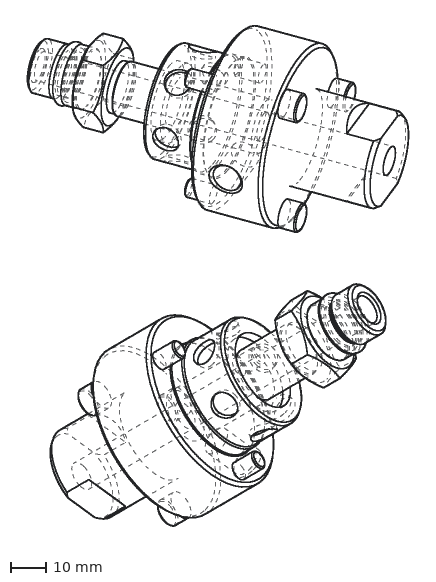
import cadquery as cq
import math


total_length = 108.9
flow_bore_diameter = 8.5
shaft_diameter = 16.0
seat_end_x = 69.7

spigot_chamfer = 0.9
thread_end_x = 7.1
groove_diameter = 13.5
groove_end_x = 11.2
ring_section_radius = 1.4
ring_center_x = 9.8
ring_outer_radius = 9.4
collar_diameter = 18.0
collar_chamfer = 0.3
hex_start_x = 15.8
hex_length = 8.9
hex_side_count = 6
hex_across_flats = 23.8
hex_face_diameter = 22.8
hex_chamfer_angle = 30.0
neck_diameter = 15.4
neck_end_x = 26.5
mouth_chamfer = 0.8

sleeve_start_x = 40.2
sleeve_diameter = 34.1
sleeve_bore_diameter = 23.4
sleeve_bore_depth = 2.9
sleeve_bore_end_x = sleeve_start_x + sleeve_bore_depth
sleeve_chamfer_length = 0.9
sleeve_chamfer_height = 0.7
sleeve_end_x = 54.8
shoulder_diameter = 35.1
shoulder_chamfer = (shoulder_diameter - sleeve_diameter) / 2
shoulder_foot = 0.3
window_count = 6
window_diameter = 8.0
window_floor_diameter = 30.5
window_x = 47.3

flange_start_x = 59.3
flange_end_x = 81.3
flange_diameter = 54.0
flange_chamfer = 1.0
port_diameter = 8.5
port_x = (flange_start_x + flange_end_x) / 2
port_mouth_diameter = 10.3
port_depth = 13.1
drill_point_angle = 118.0

rear_diameter = 28.5
rear_fillet = 1.0
rear_chamfer_length = 1.4
rear_chamfer_height = 1.0
flat_spacing = 24.0
flat_start_x = 99.2
flat_ramp_length = 1.9
flat_ramp_height = (rear_diameter - flat_spacing) / 2

screw_count = 3
screw_circle_diameter = 45.0
screw_diameter = 5.5
screw_tip_x = 51.6
screw_tip_chamfer = 0.4
head_diameter = 8.5
head_end_x = 86.7
head_chamfer = 0.4


def rod(diameter, start_x, end_x):
    """Round bar on the X axis."""
    return cq.Workplane("YZ", origin=(start_x, 0, 0)).circle(diameter / 2).extrude(end_x - start_x)


def turned(outline):
    """Solid of revolution about X from a closed outline sketched in the XY plane."""
    return outline.close().revolve(360, (0, 0, 0), (1, 0, 0))


def spigot():
    """Chamfered thread, ring groove and collar in front of the hex."""
    radius = shaft_diameter / 2
    groove_radius = groove_diameter / 2
    collar_radius = collar_diameter / 2
    thread_runout = radius - groove_radius
    return turned(
        cq.Workplane("XY")
        .moveTo(0, 0)
        .lineTo(0, radius - spigot_chamfer)
        .lineTo(spigot_chamfer, radius)
        .lineTo(thread_end_x, radius)
        .lineTo(thread_end_x + thread_runout, groove_radius)
        .lineTo(groove_end_x, groove_radius)
        .lineTo(groove_end_x, collar_radius)
        .lineTo(hex_start_x - collar_chamfer, collar_radius)
        .lineTo(hex_start_x, collar_radius - collar_chamfer)
        .lineTo(hex_start_x, 0)
    )


def sealing_ring():
    """Round-section ring seated in the groove."""
    center_radius = ring_outer_radius - ring_section_radius
    section = cq.Workplane("XY").center(ring_center_x, center_radius).circle(ring_section_radius)
    return section.revolve(360, (0, -center_radius, 0), (1, -center_radius, 0))


def hexagon():
    """Hex with flats facing up and down and conical chamfers on both ends."""
    corner_diameter = hex_across_flats / math.cos(math.pi / hex_side_count)
    corner_radius = corner_diameter / 2
    face_radius = hex_face_diameter / 2
    chamfer_length = (corner_radius - face_radius) * math.tan(math.radians(hex_chamfer_angle))
    hex_end_x = hex_start_x + hex_length
    end_face = cq.Workplane("YZ", origin=(hex_start_x, 0, 0)).polygon(hex_side_count, corner_diameter)
    prism = end_face.extrude(hex_length)
    envelope = turned(
        cq.Workplane("XY")
        .moveTo(hex_start_x, 0)
        .lineTo(hex_start_x, face_radius)
        .lineTo(hex_start_x + chamfer_length, corner_radius)
        .lineTo(hex_end_x - chamfer_length, corner_radius)
        .lineTo(hex_end_x, face_radius)
        .lineTo(hex_end_x, 0)
    )
    return prism.intersect(envelope)


def shaft():
    """Relieved neck behind the hex and the plain shaft running into the stator."""
    neck = rod(neck_diameter, hex_start_x + hex_length, neck_end_x)
    edge_break = (shaft_diameter - neck_diameter) / 2
    return neck.union(rod(shaft_diameter, neck_end_x, seat_end_x).faces("<X").chamfer(edge_break))


def make_rotor():
    """Hollow rotor with a chamfered bore mouth."""
    body = spigot().union(sealing_ring()).union(hexagon()).union(shaft())
    body = body.cut(rod(flow_bore_diameter, 0, seat_end_x))
    mouth_radius = flow_bore_diameter / 2 + mouth_chamfer
    mouth = cq.Solid.makeCone(
        mouth_radius, flow_bore_diameter / 2, mouth_chamfer, cq.Vector(0, 0, 0), cq.Vector(1, 0, 0)
    )
    return body.cut(cq.Workplane(mouth))


def stator_blank():
    """Turned outside of the sleeve, shoulder, flange and rear connection."""
    sleeve_radius = sleeve_diameter / 2
    shoulder_radius = shoulder_diameter / 2
    flange_radius = flange_diameter / 2
    rear_radius = rear_diameter / 2
    fillet_middle = rear_fillet * (1 - math.sqrt(0.5))
    return turned(
        cq.Workplane("XY")
        .moveTo(sleeve_start_x, 0)
        .lineTo(sleeve_start_x, sleeve_radius - sleeve_chamfer_height)
        .lineTo(sleeve_start_x + sleeve_chamfer_length, sleeve_radius)
        .lineTo(sleeve_end_x, sleeve_radius)
        .lineTo(sleeve_end_x + shoulder_chamfer, shoulder_radius)
        .lineTo(flange_start_x - shoulder_foot, shoulder_radius)
        .lineTo(flange_start_x, shoulder_radius + shoulder_foot)
        .lineTo(flange_start_x, flange_radius - flange_chamfer)
        .lineTo(flange_start_x + flange_chamfer, flange_radius)
        .lineTo(flange_end_x - flange_chamfer, flange_radius)
        .lineTo(flange_end_x, flange_radius - flange_chamfer)
        .lineTo(flange_end_x, rear_radius + rear_fillet)
        .threePointArc(
            (flange_end_x + fillet_middle, rear_radius + fillet_middle),
            (flange_end_x + rear_fillet, rear_radius),
        )
        .lineTo(total_length - rear_chamfer_length, rear_radius)
        .lineTo(total_length, rear_radius - rear_chamfer_height)
        .lineTo(total_length, 0)
    )


def screw(angle):
    """Cap screw through the flange, at an angle from +Y towards +Z."""
    thread = rod(screw_diameter, screw_tip_x, flange_end_x).faces("<X").chamfer(screw_tip_chamfer)
    head = rod(head_diameter, flange_end_x, head_end_x).faces(">X").chamfer(head_chamfer)
    placed = thread.union(head).translate((0, screw_circle_diameter / 2, 0))
    return placed.rotate((0, 0, 0), (1, 0, 0), angle)


def sleeve_window(angle):
    """Blind radial hole in the sleeve with a round floor, turned about X from -Y."""
    drill = cq.Workplane("XZ", origin=(window_x, 0, 0)).circle(window_diameter / 2).extrude(sleeve_diameter)
    core = rod(window_floor_diameter, window_x - window_diameter, window_x + window_diameter)
    return drill.cut(core).rotate((0, 0, 0), (1, 0, 0), angle)


def flange_port():
    """Blind drilled port entering the flange from -Y, with a chamfered mouth."""
    radius = port_diameter / 2
    mouth_radius = port_mouth_diameter / 2
    mouth_depth = mouth_radius - radius
    outer_y = -flange_diameter / 2
    bottom_y = outer_y + port_depth
    point_y = bottom_y + radius / math.tan(math.radians(drill_point_angle / 2))
    return (
        cq.Workplane("XY", origin=(port_x, 0, 0))
        .moveTo(0, outer_y)
        .lineTo(mouth_radius, outer_y)
        .lineTo(radius, outer_y + mouth_depth)
        .lineTo(radius, bottom_y)
        .lineTo(0, point_y)
        .close()
        .revolve(360, (0, 0, 0), (0, 1, 0))
    )


def wrench_flat():
    """Cutter for the upper wrench flat, with a sloped run-out at its inner end."""
    flat_z = flat_spacing / 2
    top_z = flat_z + flat_ramp_height
    return (
        cq.Workplane("XZ")
        .moveTo(flat_start_x, flat_z)
        .lineTo(total_length, flat_z)
        .lineTo(total_length, top_z)
        .lineTo(flat_start_x - flat_ramp_length, top_z)
        .close()
        .extrude(rear_diameter / 2, both=True)
    )


def make_stator():
    """Stator with fixed screws, shaft seat, flow bore, windows, port and wrench flats."""
    body = stator_blank()
    for index in range(screw_count):
        body = body.union(screw(index * 360 / screw_count))
    body = body.cut(rod(sleeve_bore_diameter, sleeve_start_x, sleeve_bore_end_x))
    body = body.cut(rod(shaft_diameter, sleeve_bore_end_x, seat_end_x))
    body = body.cut(rod(flow_bore_diameter, seat_end_x, total_length))
    for index in range(window_count):
        body = body.cut(sleeve_window(index * 360 / window_count))
    body = body.cut(flange_port())
    flat = wrench_flat()
    return body.cut(flat).cut(flat.mirror("XY"))


rotor = make_rotor()
stator = make_stator()

result = cq.Compound.makeCompound([rotor.val(), stator.val()])